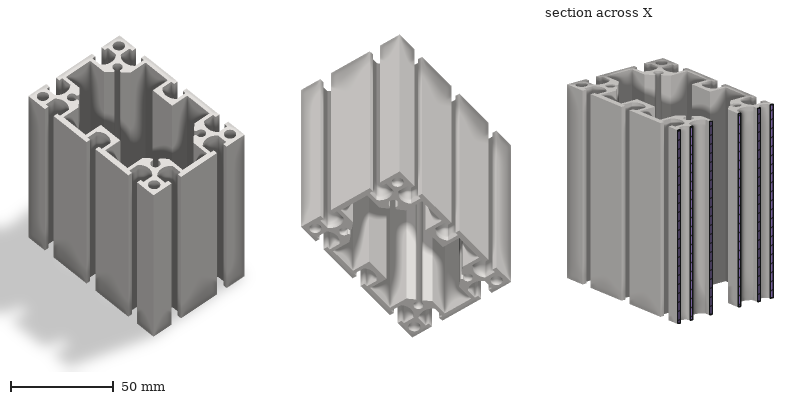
import cadquery as cq
import math

WIDTH = 90.0
DEPTH = 60.0
LENGTH = 100.0
PITCH = 30.0
WALL = 3.0

SLOT_MOUTH = 6.3
SLOT_LIP = 2.4
SLOT_CHAMBER = 10.2
SLOT_SIDE_DEPTH = 8.2
SLOT_FLOOR_DEPTH = 10.5

POCKET_WIDTH = 14.0
POCKET_DEPTH = 12.9

CORNER_BORE = 6.0
CORNER_BORE_INSET = 5.0
SCREW_BORE = 5.0
SCREW_MOUTH = 2.7
MOUTH_ROUND = 0.9

EDGE_INSET = PITCH / 2
BLOCK_SIZE = EDGE_INSET + POCKET_WIDTH / 2
BORE_X = WIDTH / 2 - EDGE_INSET
BORE_Y = DEPTH / 2 - EDGE_INSET
CORNERS = [(sx, sy) for sx in (-1, 1) for sy in (-1, 1)]


def bar(size_x, size_y, x=0.0, y=0.0):
    """Full-length rectangular bar centred on (x, y)."""
    return cq.Workplane("XY").center(x, y).rect(size_x, size_y).extrude(LENGTH)


def corner_block():
    """Block in the -X, -Y corner, cut diagonally and opened by the screw bore."""
    left = -WIDTH / 2
    front = -DEPTH / 2
    block = (
        cq.Workplane("XY")
        .moveTo(left, front)
        .lineTo(left + BLOCK_SIZE, front)
        .lineTo(left + BLOCK_SIZE, front + POCKET_DEPTH)
        .lineTo(left + POCKET_DEPTH, front + BLOCK_SIZE)
        .lineTo(left, front + BLOCK_SIZE)
        .close()
        .extrude(LENGTH)
    )
    mouth = (
        cq.Workplane("XY")
        .rect(BLOCK_SIZE, SCREW_MOUTH)
        .extrude(LENGTH)
        .translate((BLOCK_SIZE / 2, 0, 0))
        .rotate((0, 0, 0), (0, 0, 1), 45)
        .translate((-BORE_X, -BORE_Y, 0))
    )
    block = block.cut(mouth)

    face_distance = (BLOCK_SIZE + POCKET_DEPTH - 2 * EDGE_INSET) / math.sqrt(2)
    for side in (-1, 1):
        across = side * SCREW_MOUTH / 2
        edge_x = -BORE_X + (face_distance - across) / math.sqrt(2)
        edge_y = -BORE_Y + (face_distance + across) / math.sqrt(2)
        edge = cq.selectors.NearestToPointSelector((edge_x, edge_y, LENGTH / 2))
        block = block.edges(edge).fillet(MOUTH_ROUND)
    bore = cq.Workplane("XY").center(-BORE_X, -BORE_Y).circle(SCREW_BORE / 2).extrude(LENGTH)
    return block.cut(bore)


def slot_cutter(offset, face_distance, angle):
    """T-slot opening through the face at face_distance, turned about Z by angle."""
    mouth = SLOT_MOUTH / 2
    chamber = SLOT_CHAMBER / 2
    return (
        cq.Workplane("XY")
        .moveTo(offset - mouth, -face_distance)
        .lineTo(offset + mouth, -face_distance)
        .lineTo(offset + mouth, -face_distance + SLOT_LIP)
        .lineTo(offset + chamber, -face_distance + SLOT_LIP)
        .lineTo(offset + chamber, -face_distance + SLOT_SIDE_DEPTH)
        .threePointArc(
            (offset, -face_distance + SLOT_FLOOR_DEPTH),
            (offset - chamber, -face_distance + SLOT_SIDE_DEPTH),
        )
        .lineTo(offset - chamber, -face_distance + SLOT_LIP)
        .lineTo(offset - mouth, -face_distance + SLOT_LIP)
        .close()
        .extrude(LENGTH)
        .rotate((0, 0, 0), (0, 0, 1), angle)
    )


profile = bar(WIDTH, DEPTH).cut(bar(WIDTH - 2 * WALL, DEPTH - 2 * WALL))

for side in (-1, 1):
    profile = profile.union(bar(POCKET_WIDTH, POCKET_DEPTH, 0, side * (DEPTH - POCKET_DEPTH) / 2))

block = corner_block()
front_blocks = block.union(block.mirror("YZ"))
profile = profile.union(front_blocks).union(front_blocks.mirror("XZ"))

for angle in (0, 180):
    for offset in (-PITCH, 0, PITCH):
        profile = profile.cut(slot_cutter(offset, DEPTH / 2, angle))
for angle in (90, 270):
    for offset in (-PITCH / 2, PITCH / 2):
        profile = profile.cut(slot_cutter(offset, WIDTH / 2, angle))

corner_bore_points = [
    (sx * (WIDTH / 2 - CORNER_BORE_INSET), sy * (DEPTH / 2 - CORNER_BORE_INSET)) for sx, sy in CORNERS
]
bores = cq.Workplane("XY").pushPoints(corner_bore_points).circle(CORNER_BORE / 2).extrude(LENGTH)
result = profile.cut(bores)